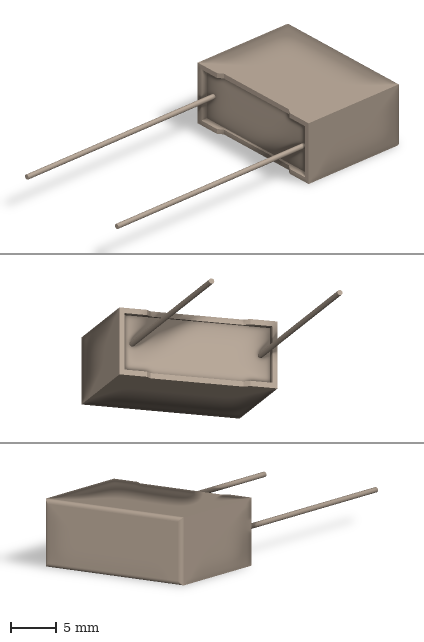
import cadquery as cq

TOTAL_LENGTH = 40.6
CASE_WIDTH = 18.5
CASE_LENGTH = 13.7
CASE_HEIGHT = 7.7

WALL = 0.6
BACK_EDGE_RADIUS = 0.5
FILL_RECESS = 0.8

RELIEF_DEPTH = 0.5
RELIEF_END_RUN = 0.6
RELIEF_MARGIN = 3.2

LEAD_PITCH = 15.02
LEAD_DIAMETER = 0.6

CAVITY_WIDTH = CASE_WIDTH - 2 * WALL
CAVITY_HEIGHT = CASE_HEIGHT - 2 * WALL
CAVITY_LENGTH = CASE_LENGTH - WALL
FILL_LENGTH = CAVITY_LENGTH - FILL_RECESS
LEAD_LENGTH = TOTAL_LENGTH - CASE_LENGTH + FILL_RECESS


def block(width, length, height, front_y):
    """Box centred in X and Z that runs toward +Y from front_y."""
    return cq.Workplane("XY").box(width, length, height, centered=(True, False, True)).translate((0, front_y, 0))


def make_rim_relief():
    """Trapezoidal cutter, widest at the open rim at Y = 0."""
    rim_half = CASE_WIDTH / 2 - RELIEF_MARGIN
    floor_half = rim_half - RELIEF_END_RUN
    return (
        cq.Workplane("XY")
        .polyline([(-rim_half, 0), (rim_half, 0), (floor_half, RELIEF_DEPTH), (-floor_half, RELIEF_DEPTH)])
        .close()
        .extrude(CASE_HEIGHT / 2, both=True)
    )


def make_case():
    """Box open toward -Y, rounded around its closed back."""
    outside = block(CASE_WIDTH, CASE_LENGTH, CASE_HEIGHT, 0).faces(">Y").edges().fillet(BACK_EDGE_RADIUS)
    cavity = block(CAVITY_WIDTH, CAVITY_LENGTH, CAVITY_HEIGHT, 0)
    return outside.cut(cavity).cut(make_rim_relief())


def make_fill():
    """Potting block that fills the cavity up to just inside the rim."""
    return block(CAVITY_WIDTH, FILL_LENGTH, CAVITY_HEIGHT, FILL_RECESS)


def make_lead(x):
    """Round wire that starts on the face of the fill and runs toward -Y."""
    return (
        cq.Workplane("XZ", origin=(x, FILL_RECESS, 0))
        .circle(LEAD_DIAMETER / 2)
        .extrude(LEAD_LENGTH)
    )


case = make_case()
fill = make_fill()
leads = [make_lead(side * LEAD_PITCH / 2) for side in (-1, 1)]

result = cq.Compound.makeCompound([case.val(), fill.val(), *[lead.val() for lead in leads]])